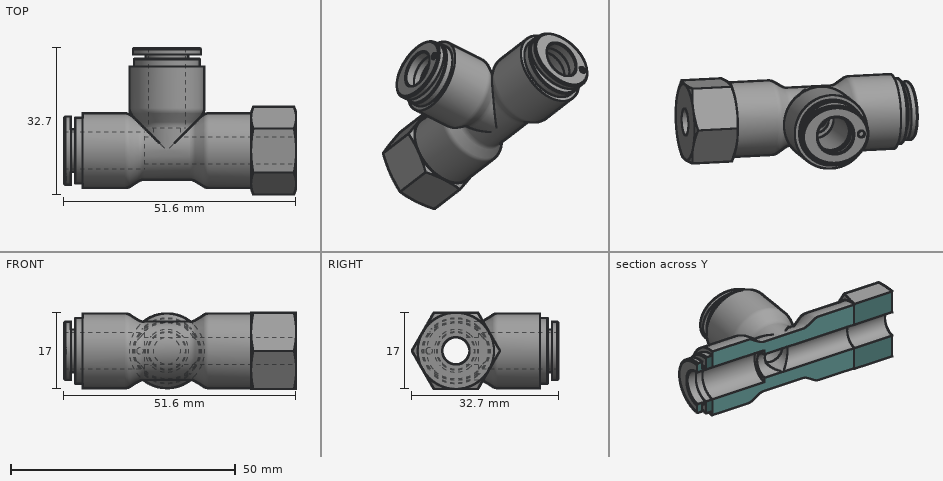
import cadquery as cq
import math


port_angles = (180, 90)
port_reach = 22.85
body_reach = 18.75
hex_length = 10.0
across_flats = 17.0

arm_diameter = 16.7
neck_diameter = 13.0
neck_half_length = 5.75
cone_length = 3.0
blend_radius = 2.0

tube_diameter = 8.2
tube_stop = 5.0
passage_diameter = 6.0

flange_width = 15.2
flange_height = 13.0
flange_thickness = 1.5
flange_edge = 0.3
neck_ring_diameter = 9.6
neck_ring_length = 0.85
lead_in = 0.2
mark_diameter = 1.5
mark_depth = 0.5
mark_offset = 5.95

ring_diameter = 14.7
ring_edge = 0.2

hex_face_diameter = across_flats
hex_chamfer_angle = 20.0

ring_face = port_reach - flange_thickness - neck_ring_length
ring_length = ring_face - body_reach


def along_arm(shape, angle):
    """Turn a shape built along +X onto the arm at the given angle about Z."""
    return shape.rotate((0, 0, 0), (0, 0, 1), angle)


def rod(diameter, start, length):
    """Cylinder along +X."""
    return cq.Workplane("YZ").workplane(offset=start).circle(diameter / 2).extrude(length)


def make_arm():
    """One solid arm: a neck that flares through a blended cone to the full diameter."""
    neck_r = neck_diameter / 2
    arm_r = arm_diameter / 2
    cone_end = neck_half_length + cone_length
    slope = math.atan2(arm_r - neck_r, cone_length)
    tangent = blend_radius * math.tan(slope / 2)
    along = tangent * math.cos(slope)
    up = tangent * math.sin(slope)
    foot_mid = (
        neck_half_length - tangent + blend_radius * math.sin(slope / 2),
        neck_r + blend_radius * (1 - math.cos(slope / 2)),
    )
    top_mid = (
        cone_end + tangent - blend_radius * math.sin(slope / 2),
        arm_r - blend_radius * (1 - math.cos(slope / 2)),
    )
    return (
        cq.Workplane("XY")
        .lineTo(0, neck_r)
        .lineTo(neck_half_length - tangent, neck_r)
        .threePointArc(foot_mid, (neck_half_length + along, neck_r + up))
        .lineTo(cone_end - along, arm_r - up)
        .threePointArc(top_mid, (cone_end + tangent, arm_r))
        .lineTo(body_reach, arm_r)
        .lineTo(body_reach, 0)
        .close()
        .revolve(360, (0, 0, 0), (1, 0, 0))
    )


def make_body():
    arm = make_arm()
    run = arm.union(along_arm(arm, 180))
    body = run.union(along_arm(arm, 90))
    tube_bore = rod(tube_diameter, tube_stop, body_reach - tube_stop)
    passage = rod(passage_diameter, 0, body_reach)
    for angle in port_angles:
        body = body.cut(along_arm(tube_bore, angle))
    for angle in (0, *port_angles):
        body = body.cut(along_arm(passage, angle))
    return body


def make_ring():
    ring = rod(ring_diameter, body_reach, ring_length)
    ring = ring.faces(">X").edges().chamfer(ring_edge)
    return ring.cut(rod(tube_diameter, body_reach, ring_length))


def make_collet():
    flange = (
        cq.Workplane("YZ")
        .workplane(offset=port_reach - flange_thickness)
        .ellipse(flange_width / 2, flange_height / 2)
        .extrude(flange_thickness)
        .faces(">X").edges().chamfer(flange_edge)
    )
    collet = flange.union(rod(neck_ring_diameter, ring_face, neck_ring_length))
    bore = rod(tube_diameter, ring_face, port_reach - ring_face)
    collet = collet.cut(bore)
    mark = rod(mark_diameter, port_reach - mark_depth, mark_depth).translate((0, mark_offset, 0))
    collet = collet.faces(">X").edges("%CIRCLE").chamfer(lead_in)
    return collet.cut(mark)


def make_hexagon():
    corner_r = across_flats / math.sqrt(3)
    face_r = hex_face_diameter / 2
    drop = (corner_r - face_r) * math.tan(math.radians(hex_chamfer_angle))
    prism = (
        cq.Workplane("YZ")
        .workplane(offset=body_reach)
        .polygon(6, 2 * corner_r)
        .extrude(hex_length)
    )
    envelope = (
        cq.Workplane("XY")
        .moveTo(body_reach, 0)
        .lineTo(body_reach, face_r)
        .lineTo(body_reach + drop, corner_r)
        .lineTo(body_reach + hex_length - drop, corner_r)
        .lineTo(body_reach + hex_length, face_r)
        .lineTo(body_reach + hex_length, 0)
        .close()
        .revolve(360, (0, 0, 0), (1, 0, 0))
    )
    return prism.intersect(envelope).cut(rod(passage_diameter, body_reach, hex_length))


body = make_body()
hexagon = make_hexagon()
rings = [along_arm(make_ring(), angle) for angle in port_angles]
collets = [along_arm(make_collet(), angle) for angle in port_angles]

bodies = [body, hexagon, *rings, *collets]
result = cq.Compound.makeCompound([piece.val() for piece in bodies])